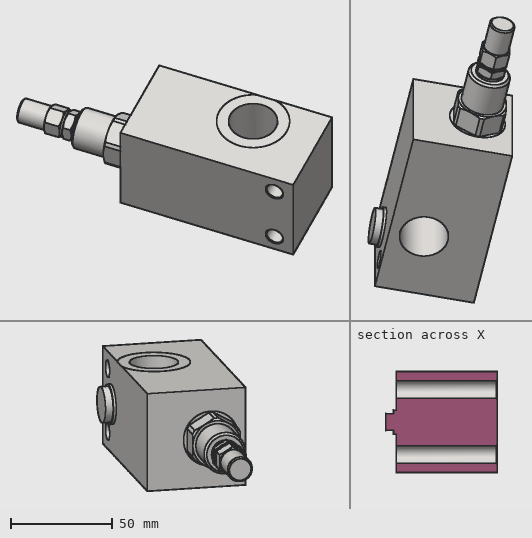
import cadquery as cq
import math


block_length = 92.4
block_side = 50.0
axis_from_front = 17.5
front_y = -axis_from_front
back_y = front_y + block_side
top_z = block_side / 2

port_x = 57.4
port_y = 15.0
port_diameter = 24.1
port_seat_diameter = 36.0
cartridge_seat_diameter = 28.0
seat_depth = 0.1

mount_x = 82.3
mount_z = 16.0
mount_diameter = 8.5
mount_chamfer = 0.5

plug_x = 74.4
plug_height = 5.2
plug_diameter = 18.0
plug_flange_diameter = 20.0
plug_flange_height = 1.4

nut_length = 11.5
body_length = 18.0
inner_neck_length = 1.2
locknut_length = 5.0
outer_neck_length = 1.2
adjuster_hex_length = 8.5
stem_length = 14.8

nut_flats = 24.1
nut_corner_width = 26.5
body_diameter = 21.0
body_chamfer = 1.15
neck_diameter = 14.0
small_hex_flats = 13.5
small_hex_face_diameter = 13.1
bevel_angle = 30
stem_diameter = 12.5
stem_chamfer = 0.8


def rod(inner_x, length, diameter):
    """Cylinder on the cartridge axis, growing towards -X from inner_x."""
    return cq.Workplane("YZ", origin=(inner_x, 0, 0)).circle(diameter / 2).extrude(-length)


def hex_prism(inner_x, length, flats, turn=0):
    """Hexagonal bar on the cartridge axis, with flats facing +Y and -Y before it is turned."""
    corners = flats / math.cos(math.radians(30))
    plane = cq.Workplane("YZ", origin=(inner_x, 0, 0)).transformed(rotate=(0, 0, 90 + turn))
    return plane.polygon(6, corners).extrude(-length)


def bevel_outer_end(hexagon, outer_x, length, flats, face_diameter):
    """Turn the corners at the -X end of a hexagonal bar down to a round face."""
    face_radius = face_diameter / 2
    clear_radius = flats
    bevel_length = (clear_radius - face_radius) * math.tan(math.radians(bevel_angle))
    profile = [
        (outer_x, 0),
        (outer_x, face_radius),
        (outer_x + bevel_length, clear_radius),
        (outer_x + bevel_length + length, clear_radius),
        (outer_x + bevel_length + length, 0),
    ]
    envelope = cq.Workplane("XY").polyline(profile).close().revolve(360, (0, 0, 0), (1, 0, 0))
    return hexagon.intersect(envelope)


def make_block():
    block = cq.Workplane("XY").box(block_length, block_side, block_side, centered=(False, False, True))
    block = block.translate((0, front_y, 0))

    port = cq.Workplane("XY", origin=(port_x, port_y, top_z))
    block = block.cut(port.circle(port_diameter / 2).extrude(-block_side))
    block = block.cut(port.circle(port_seat_diameter / 2).extrude(-seat_depth))
    block = block.cut(rod(seat_depth, seat_depth, cartridge_seat_diameter))

    radius = mount_diameter / 2
    for z in (-mount_z, mount_z):
        hole = cq.Workplane("XZ", origin=(mount_x, front_y, z))
        block = block.cut(hole.circle(radius).extrude(-block_side))
        mouth = cq.Solid.makeCone(
            radius + mount_chamfer, radius, mount_chamfer,
            pnt=cq.Vector(mount_x, front_y, z), dir=cq.Vector(0, 1, 0),
        )
        block = block.cut(cq.Workplane(mouth))
    return block


def make_plug():
    base = cq.Workplane("XZ", origin=(plug_x, back_y, 0))
    flange = base.circle(plug_flange_diameter / 2).extrude(-plug_flange_height)
    return flange.union(base.circle(plug_diameter / 2).extrude(-plug_height))


def make_nut(inner_x):
    """Large hexagon with its corners cut flat and its outer end beveled."""
    length = nut_length + inner_x
    corner_cutter = hex_prism(inner_x, length, nut_corner_width, turn=30)
    nut = hex_prism(inner_x, length, nut_flats).intersect(corner_cutter)
    return bevel_outer_end(nut, -nut_length, length, nut_flats, nut_flats)


def make_small_hex(inner_x, length):
    """Small hexagon beveled at both ends."""
    half = length / 2
    hexagon = hex_prism(half, length, small_hex_flats)
    for _ in range(2):
        hexagon = bevel_outer_end(hexagon, -half, length, small_hex_flats, small_hex_face_diameter)
        hexagon = hexagon.mirror("YZ")
    return hexagon.translate((inner_x - half, 0, 0))


def make_cartridge():
    cartridge = make_nut(seat_depth)
    x = -nut_length
    cartridge = cartridge.union(rod(x, body_length, body_diameter).faces("<X").chamfer(body_chamfer))
    x -= body_length
    cartridge = cartridge.union(rod(x, inner_neck_length, neck_diameter))
    x -= inner_neck_length
    cartridge = cartridge.union(make_small_hex(x, locknut_length))
    x -= locknut_length
    cartridge = cartridge.union(rod(x, outer_neck_length, neck_diameter))
    x -= outer_neck_length
    cartridge = cartridge.union(make_small_hex(x, adjuster_hex_length))
    x -= adjuster_hex_length
    return cartridge.union(rod(x, stem_length, stem_diameter).faces("<X").chamfer(stem_chamfer))


result = make_block().union(make_plug()).union(make_cartridge())